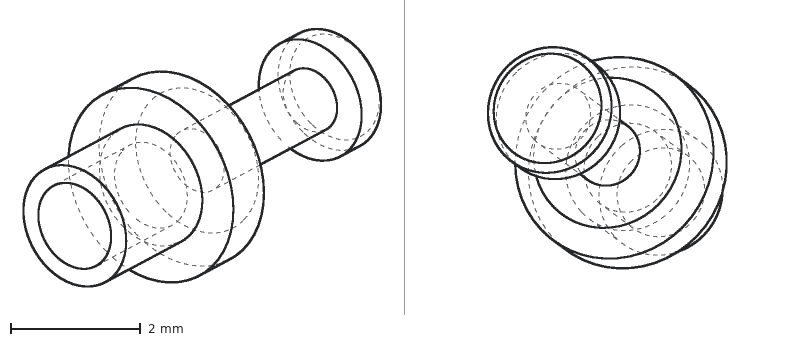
import cadquery as cq
import math

total_length = 6.73

tube_diameter = 1.98
tube_length = 1.97

flange_diameter = 3.17
flange_thickness = 1.2
flange_chamfer = 0.405

stem_diameter = 1.035

head_diameter = tube_diameter
head_thickness = 0.63
head_chamfer = 0.13

bore_diameter = 1.4
bore_depth = tube_length
bore_cone_angle = 165.0

tube_end = -total_length / 2
flange_start = tube_end + tube_length
flange_end = flange_start + flange_thickness
head_end = total_length / 2
head_start = head_end - head_thickness
bore_bottom = tube_end + bore_depth

tube_radius = tube_diameter / 2
flange_radius = flange_diameter / 2
stem_radius = stem_diameter / 2
head_radius = head_diameter / 2
bore_radius = bore_diameter / 2
bore_cone_height = bore_radius / math.tan(math.radians(bore_cone_angle / 2))


def revolve_about_y(profile):
    """Turn a closed (radius, station) outline into a solid around the Y axis."""
    return cq.Workplane("XY").polyline(profile).close().revolve(360, (0, 0, 0), (0, 1, 0))


body = revolve_about_y([
    (0, tube_end),
    (tube_radius, tube_end),
    (tube_radius, flange_start),
    (flange_radius, flange_start),
    (flange_radius, flange_end - flange_chamfer),
    (flange_radius - flange_chamfer, flange_end),
    (stem_radius, flange_end),
    (stem_radius, head_start),
    (head_radius, head_start),
    (head_radius, head_end - head_chamfer),
    (head_radius - head_chamfer, head_end),
    (0, head_end),
])

bore = revolve_about_y([
    (0, tube_end),
    (bore_radius, tube_end),
    (bore_radius, bore_bottom),
    (0, bore_bottom + bore_cone_height),
])

result = body.cut(bore)